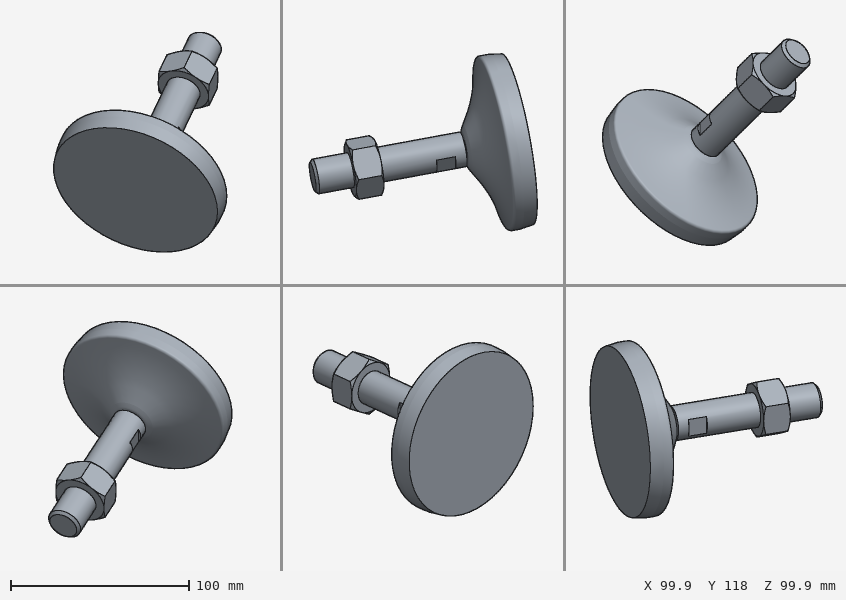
import cadquery as cq
import math


PAD_RADIUS = 49.97
PAD_BASE_RADIUS = 48.9
TAPER_HEIGHT = 7.8
RIM_HEIGHT = 12.3
SHOULDER_FILLET = 1.8
SHOULDER_SLOPE = math.radians(11)
FLANK_TOP_RADIUS = 13.3
FLANK_TOP_HEIGHT = 28.8
PAD_TOP_RADIUS = 10.1
PAD_HEIGHT = 30.2

TOTAL_LENGTH = 118
STUD_RADIUS = 20.0 / 2
STUD_START = 31.3
STUD_CHAMFER = 1.7
NECK_RADIUS = 10.0 / 2
NECK_BASE_RADIUS = 5.5

FLATS_WIDTH = 17.0
FLATS_START = 37.6
FLATS_LENGTH = 10.9

NUT_START = 80.4
NUT_THICKNESS = 15.9
NUT_ACROSS_FLATS = 30.0
NUT_CHAMFER_ANGLE = math.radians(30)


def make_pad():
    """Tapered base, short straight rim, rounded shoulder, concave flank and rounded crown."""
    centre_radius = PAD_RADIUS - SHOULDER_FILLET
    shoulder_end = (
        centre_radius + SHOULDER_FILLET * math.sin(SHOULDER_SLOPE),
        RIM_HEIGHT + SHOULDER_FILLET * math.cos(SHOULDER_SLOPE),
    )
    return (
        cq.Workplane("XY")
        .moveTo(0, 0)
        .lineTo(PAD_BASE_RADIUS, 0)
        .lineTo(PAD_RADIUS, TAPER_HEIGHT)
        .lineTo(PAD_RADIUS, RIM_HEIGHT)
        .tangentArcPoint(shoulder_end, relative=False)
        .tangentArcPoint((FLANK_TOP_RADIUS, FLANK_TOP_HEIGHT), relative=False)
        .tangentArcPoint((PAD_TOP_RADIUS, PAD_HEIGHT), relative=False)
        .lineTo(0, PAD_HEIGHT)
        .close()
        .revolve(360, (0, 0, 0), (0, 1, 0))
    )


def cylinder_along_y(radius, start, end):
    return cq.Workplane("XZ", origin=(0, start, 0)).circle(radius).extrude(start - end)


def make_stud():
    """Chamfered stud with two wrench flats facing -X and +X, on a tapered neck."""
    stud = cylinder_along_y(STUD_RADIUS, STUD_START, TOTAL_LENGTH).faces(">Y").chamfer(STUD_CHAMFER)
    flat_depth = STUD_RADIUS - FLATS_WIDTH / 2
    flat_centre_x = FLATS_WIDTH / 2 + flat_depth / 2
    flat_centre_y = FLATS_START + FLATS_LENGTH / 2
    for side in (-1, 1):
        cutter = cq.Workplane("XY").box(flat_depth, FLATS_LENGTH, 2 * STUD_RADIUS)
        stud = stud.cut(cutter.translate((side * flat_centre_x, flat_centre_y, 0)))
    neck = (
        cq.Workplane("XY")
        .moveTo(0, PAD_HEIGHT)
        .lineTo(NECK_BASE_RADIUS, PAD_HEIGHT)
        .lineTo(NECK_RADIUS, STUD_START)
        .lineTo(0, STUD_START)
        .close()
        .revolve(360, (0, 0, 0), (0, 1, 0))
    )
    return stud.union(neck)


def make_nut():
    """Hexagon with corners on the Z axis, trimmed by a cone at both ends."""
    flat_radius = NUT_ACROSS_FLATS / 2
    corner_radius = flat_radius / math.cos(math.pi / 6)
    chamfer_height = (corner_radius - flat_radius) * math.tan(NUT_CHAMFER_ANGLE)
    nut_end = NUT_START + NUT_THICKNESS
    hexagon = (
        cq.Workplane("XZ", origin=(0, NUT_START, 0))
        .transformed(rotate=(0, 0, 90))
        .polygon(6, 2 * corner_radius)
        .extrude(-NUT_THICKNESS)
    )
    envelope = (
        cq.Workplane("XY")
        .moveTo(0, NUT_START)
        .lineTo(flat_radius, NUT_START)
        .lineTo(corner_radius, NUT_START + chamfer_height)
        .lineTo(corner_radius, nut_end - chamfer_height)
        .lineTo(flat_radius, nut_end)
        .lineTo(0, nut_end)
        .close()
        .revolve(360, (0, 0, 0), (0, 1, 0))
    )
    return hexagon.intersect(envelope)


result = make_pad().union(make_stud()).union(make_nut())